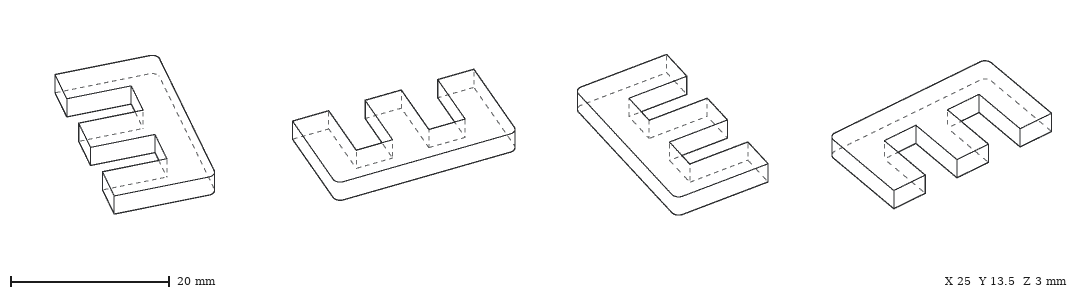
import cadquery as cq

length = 25.0
depth = 13.5
thickness = 3.0
corner_radius = 1.0
back_width = 5.0

leg_width = length / 5
slot_depth = depth - back_width


def make_plate():
    """Flat plate with its two back corners rounded."""
    plate = cq.Workplane("XY").box(length, depth, thickness)
    return plate.edges("|Z and >Y").fillet(corner_radius)


def make_slots():
    """Two rectangular slots, open at the front, between the legs."""
    slot_centers = [(side * leg_width, (slot_depth - depth) / 2) for side in (-1, 1)]
    return (
        cq.Workplane("XY")
        .pushPoints(slot_centers)
        .box(leg_width, slot_depth, thickness)
    )


result = make_plate().cut(make_slots())